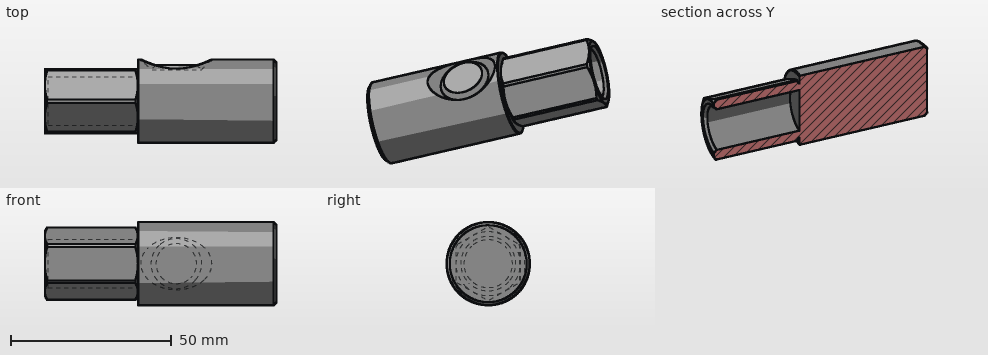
import cadquery as cq
import math

total_length = 72.2
hex_length = 28.95
body_length = total_length - hex_length

body_diameter = 26.0
body_radius = body_diameter / 2
shoulder_chamfer = 0.2
end_chamfer = 1.0

hex_sides = 6
across_flats = 20.0
corner_diameter = 22.5
hex_end_angle = math.radians(30)
hex_chamfer_depth = (corner_diameter - across_flats) / 2
hex_chamfer_length = hex_chamfer_depth * math.tan(hex_end_angle)

bore_diameter = 15.0
bore_depth = hex_length
bore_chamfer = 1.0

recess_x = 40.95
recess_radius = 11.05
post_top_radius = 6.3
post_top = 11.3

groove_radius = (recess_radius + post_top_radius + post_top - body_radius) / 2
groove_bottom = body_radius - (recess_radius - groove_radius)


def make_body():
    body = cq.Workplane("YZ", origin=(hex_length, 0, 0)).circle(body_radius).extrude(body_length)
    body = body.faces("<X").chamfer(shoulder_chamfer)
    return body.faces(">X").chamfer(end_chamfer)


def make_hex_shank():
    half_side_angle = math.pi / hex_sides
    across_corners = across_flats / math.cos(half_side_angle)
    prism = (
        cq.Workplane("YZ")
        .transformed(rotate=(0, 0, 90))
        .polygon(hex_sides, across_corners)
        .extrude(hex_length)
    )
    turned_blank = (
        cq.Workplane("YZ")
        .circle(corner_diameter / 2)
        .extrude(hex_length)
        .faces("<X or >X")
        .chamfer(hex_chamfer_length, hex_chamfer_depth)
    )
    return prism.intersect(turned_blank)


def make_bore():
    bore_radius = bore_diameter / 2
    return (
        cq.Workplane("XY")
        .moveTo(0, 0)
        .lineTo(0, bore_radius + bore_chamfer)
        .lineTo(bore_chamfer, bore_radius)
        .lineTo(bore_depth, bore_radius)
        .lineTo(bore_depth, 0)
        .close()
        .revolve(360, (0, 0, 0), (1, 0, 0))
    )


def make_frustum(bottom_radius, bottom, top_radius, top):
    return (
        cq.Workplane("XY", origin=(recess_x, 0, 0))
        .moveTo(0, bottom)
        .lineTo(bottom_radius, bottom)
        .lineTo(top_radius, top)
        .lineTo(0, top)
        .close()
        .revolve(360, (0, 0, 0), (0, 1, 0))
    )


recess = make_frustum(groove_radius, groove_bottom, recess_radius, body_radius)
post = make_frustum(groove_radius, groove_bottom, post_top_radius, post_top)

result = make_body().union(make_hex_shank()).cut(make_bore()).cut(recess).union(post)